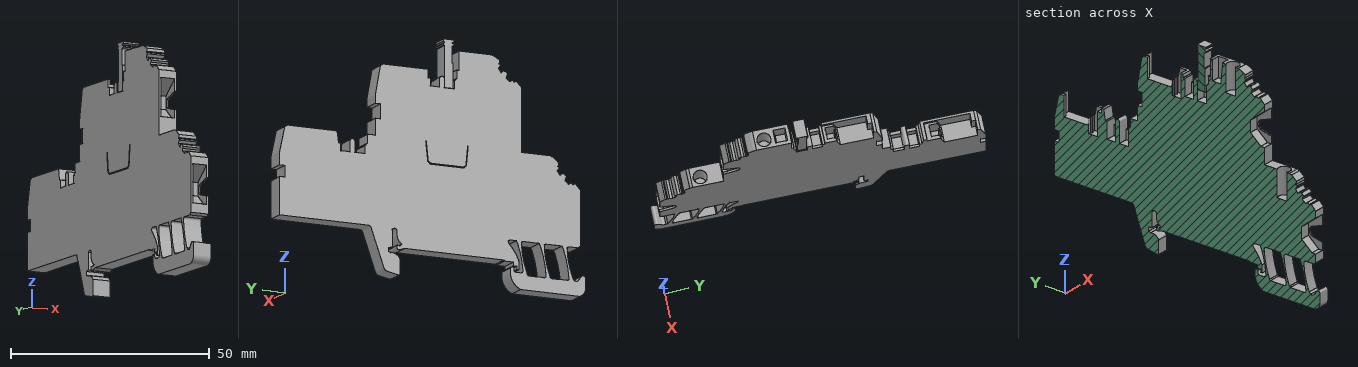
import cadquery as cq

thickness = 5.1
length = 85.25
jumper_top = 62.82

foot_floor = 12.07
latch_ceiling = 12.54
rail_face = 7.15
lower_deck = 35.66
upper_deck = 54.4
tower_top = 60.06

level_shift_y = 16.4
level_shift_z = 24.84

lower_front = 1.37
lower_slope_foot = 27.6
upper_front = lower_front + level_shift_y
upper_slope_foot = lower_slope_foot + level_shift_z
fronts = [(lower_front, lower_slope_foot), (upper_front, upper_slope_foot)]

upper_back = 58.6
bevel_run = 0.75
bevel_drop = 0.5
back_edges = [
    (length, foot_floor, lower_deck, 22.05, 25.05, 1.45, 1.45, 28.47),
    (upper_back, lower_deck, upper_deck, 40.03, 43.92, 1.5, 1.45, 46.0),
]

slot_length = 6.72
slot_pitch_y = 24.94
lower_slot_start = 61.43
lower_slot_floor = 30.57
upper_slot_start = lower_slot_start - slot_pitch_y
upper_slot_floor = 50.09
slot_ledge = 2.05
slot_mouth = 0.6
mouth_slope = 0.7
lower_slot_lean = 0.45
upper_slot_lean = 0.1
divider_start = 2.8
divider_width = 1.37
lower_divider_height = 3.55
upper_divider_height = 2.85
cell_depth = 3.0
cell_x = (0.9, 4.5)

pocket_wall = 0.65
pocket_step_x = 2.7
pocket_step = 1.05
pocket_depth = 6.0
block_depth = 1.3
block_length = 3.4
block_slope = 1.0
port_x = (1.2, 4.2)
port_length = 2.7
port_offset = 1.25
port_depth = 7.0
coding_rib_width = 0.35
coding_rib_depth = 0.5
coding_rib_gap = 0.7
pocket_length = 12.95
lower_pocket_start = 70.1
upper_pocket_start = 43.4

hole_diameter = 3.5
hole_depth = 8.0
hole_x = 2.83
hole_setback = 10.85
socket_x = (0.9, 4.2)
socket_y = (31.3, 34.4)
socket_taper = 0.6
socket_depth = 6.0

funnel_x = (0.55, 4.55)
funnel_depth = 4.5
funnel_mouth = (-1.95, -12.0)
funnel_throat = (-5.7, -9.15)
funnel_lip = 1.2

leg_pitch = 6.36
base_top = 3.81


def extrude(outline, start=0.0, end=thickness):
    """Extrude an outline drawn in Y and Z from X = start to X = end."""
    return outline.extrude(end - start).translate((start, 0, 0))


def box(x_range, y_range, z_range):
    size = [high - low for low, high in (x_range, y_range, z_range)]
    corner = (x_range[0], y_range[0], z_range[0])
    return cq.Workplane("XY").box(*size, centered=False).translate(corner)


def outline_from(points):
    return cq.Workplane("YZ").polyline(points).close()


def marker_slope(front, foot, top):
    """Ridged slope that holds the marker tags, from the front face up to the bevelled top surface."""
    bevel = 0.25
    offsets = [
        (0.0, 0.0), (1.4, 1.46), (1.8, 1.46), (2.08, 1.2), (2.57, 1.7), (3.3, 1.2),
        (4.3, 2.0), (4.15, 2.57), (3.8, 3.05), (4.55, 3.77), (5.25, 3.77), (5.7, 3.25),
        (6.45, 4.28), (5.9, 5.0), (5.9, 5.35), (6.4, 5.5), (6.15, 5.7), (6.15, 6.5),
    ]
    slope = [(front + y, foot + z) for y, z in offsets]
    return slope + [(front + 7.7, top - bevel), (front + 8.45, top)]


def slot_side(start, floor, deck_near, deck_far, far_lean):
    """Outline of a jumper slot, going from its -Y side to its leaning +Y side."""
    end = start + slot_length
    ledge = floor + slot_ledge
    return [
        (start - slot_mouth, deck_near),
        (start - slot_mouth, ledge + mouth_slope),
        (start, ledge),
        (start, floor),
        (end, floor),
        (end, ledge),
        (end + slot_mouth, ledge),
        (end + slot_mouth + far_lean, deck_far),
    ]


def back_edge(back, base, deck, notch_low, notch_high, notch_depth, lean, lean_start):
    """Leaning back end of a level with its rectangular notch, going down."""
    return [
        (back - lean - bevel_run, deck),
        (back - lean, deck - bevel_drop),
        (back, lean_start),
        (back, notch_high),
        (back - notch_depth, notch_high),
        (back - notch_depth, notch_low),
        (back, notch_low),
        (back, base),
    ]


def housing_plate():
    lower_edge, upper_edge = back_edges
    tower_back = 35.27
    tower_ledge = 55.0
    points = [(20.1, latch_ceiling), (lower_front + 0.6, latch_ceiling), (lower_front, latch_ceiling + 0.6)]
    points += marker_slope(lower_front, lower_slope_foot, lower_deck)
    points += [(upper_front, lower_deck)]
    points += marker_slope(upper_front, upper_slope_foot, tower_top)
    points += [(tower_back, tower_top), (tower_back, tower_ledge)]
    points += slot_side(upper_slot_start, upper_slot_floor, tower_ledge, upper_deck, upper_slot_lean)
    points += back_edge(*upper_edge)
    points += slot_side(lower_slot_start, lower_slot_floor, lower_deck, lower_deck, lower_slot_lean)
    points += back_edge(*lower_edge)
    points += [(51.0, foot_floor), (51.0, rail_face), (22.0, rail_face), (22.0, latch_ceiling)]
    return extrude(outline_from(points))


def slot_divider(start, floor, height):
    """Round-topped rib between the two cells of a jumper slot."""
    near = start + divider_start
    far = near + divider_width
    shoulder = floor + height - divider_width / 2
    outline = (
        cq.Workplane("YZ")
        .moveTo(near, floor)
        .lineTo(far, floor)
        .lineTo(far, shoulder)
        .threePointArc(((near + far) / 2, floor + height), (near, shoulder))
        .close()
    )
    return extrude(outline)


def fixed_foot():
    """Rigid foot that hooks under the rail at the +Y side, with the slit beside it."""
    outline = (
        cq.Workplane("YZ")
        .moveTo(60.57, foot_floor)
        .threePointArc((60.05, 11.9), (59.7, 11.4))
        .lineTo(56.2, 1.5)
        .threePointArc((55.8, 0.95), (55.1, 0.65))
        .lineTo(52.0, 0.05)
        .lineTo(51.67, 0.2)
        .lineTo(51.67, 4.4)
        .threePointArc((52.5, 5.3), (54.2, 5.65))
        .lineTo(54.85, 5.9)
        .lineTo(54.85, 6.9)
        .lineTo(53.85, rail_face)
        .lineTo(53.85, 11.6)
        .threePointArc((53.2, foot_floor), (52.5, 11.5))
        .lineTo(52.5, 10.2)
        .threePointArc((52.1, 9.0), (51.2, 8.15))
        .lineTo(51.6, 7.75)
        .lineTo(52.5, 7.75)
        .lineTo(52.5, 6.95)
        .threePointArc((52.25, 6.65), (51.9, 6.65))
        .lineTo(50.4, rail_face)
        .lineTo(50.4, foot_floor + 1)
        .lineTo(60.57, foot_floor + 1)
        .close()
    )
    return extrude(outline)


def latch_tongue():
    """Sloping tongue of the housing that dips into the latch hook."""
    outline = (
        cq.Workplane("YZ")
        .moveTo(22.8, rail_face)
        .lineTo(22.6, 6.9)
        .lineTo(20.1, 6.9)
        .lineTo(20.1, 5.95)
        .lineTo(19.1, 5.95)
        .lineTo(19.1, 5.1)
        .lineTo(18.57, 5.1)
        .lineTo(18.57, 7.4)
        .threePointArc((19.45, 9.1), (21.3, 11.55))
        .threePointArc((21.45, 12.2), (20.95, latch_ceiling))
        .lineTo(22.8, latch_ceiling)
        .close()
    )
    return extrude(outline)


def leg_gap(shift):
    """Through window between two spring legs, shifted toward -Y."""
    outline = (
        cq.Workplane("YZ")
        .moveTo(17.45 - shift, latch_ceiling)
        .threePointArc((17.75 - shift, 12.3), (17.85 - shift, 11.9))
        .threePointArc((17.4 - shift, 8.4), (16.15 - shift, 4.1))
        .lineTo(15.85 - shift, base_top)
        .lineTo(11.5 - shift, base_top)
        .threePointArc((11.1 - shift, 3.95), (11.0 - shift, 4.3))
        .threePointArc((11.55 - shift, 8.2), (12.6 - shift, 11.9))
        .lineTo(12.95 - shift, latch_ceiling)
        .close()
    )
    return extrude(outline)


def rail_latch():
    """Sprung latch: three leaning legs that carry a hooked base."""
    outline = (
        cq.Workplane("YZ")
        .moveTo(19.3, latch_ceiling)
        .lineTo(18.96, 11.9)
        .threePointArc((17.91, 8.2), (17.45, 4.95))
        .threePointArc((17.65, 4.5), (18.1, 4.32))
        .lineTo(19.35, 4.32)
        .threePointArc((19.7, 4.5), (19.9, 4.9))
        .lineTo(19.9, 5.6)
        .lineTo(20.65, 5.6)
        .lineTo(20.95, 5.3)
        .lineTo(20.95, 3.8)
        .threePointArc((20.1, 1.55), (18.1, 0.0))
        .lineTo(1.7, 0.0)
        .threePointArc((0.5, 0.7), (0.0, 2.0))
        .lineTo(0.0, 5.0)
        .threePointArc((0.55, 5.5), (1.2, 5.2))
        .lineTo(2.1, 4.0)
        .threePointArc((2.55, base_top), (2.95, 3.9))
        .lineTo(3.43, 4.4)
        .threePointArc((4.68, 8.4), (5.13, 11.9))
        .threePointArc((5.03, 12.3), (4.73, latch_ceiling))
        .lineTo(4.73, latch_ceiling + 1)
        .lineTo(19.3, latch_ceiling + 1)
        .close()
    )
    latch = extrude(outline)
    for index in range(2):
        latch = latch.cut(leg_gap(index * leg_pitch))
    return latch


def slot_cells(start, floor):
    """Deep cells below a jumper slot, one on each side of the divider."""
    near = start + divider_start
    far = near + divider_width
    depth = (floor - cell_depth, floor)
    return box(cell_x, (start, near), depth).union(box(cell_x, (far, start + slot_length), depth))


def plug_pocket(start, deck, rib_count):
    """Stepped deck pocket that leaves a sloped entry block with a coded port at its -Y end."""
    end = start + pocket_length
    floor = deck - pocket_depth
    block_top = deck - block_depth
    heights = (floor, deck)
    pocket = box((pocket_wall, thickness), (start, end - pocket_step), heights)
    pocket = pocket.union(box((pocket_step_x, thickness), (start, end), heights))
    block = extrude(
        outline_from([
            (start, floor),
            (start, block_top),
            (start + block_length, block_top),
            (start + block_length + block_slope, floor),
        ]),
        pocket_wall,
    )
    port_start = start + port_offset
    port_end = port_start + port_length
    port_floor = block_top - port_depth
    port = box(port_x, (port_start, port_end), (port_floor, block_top))
    middle = sum(port_x) / 2
    for index in range(rib_count):
        rib_x = middle + (index - (rib_count - 1) / 2) * (coding_rib_width + coding_rib_gap)
        rib_sides = (rib_x - coding_rib_width / 2, rib_x + coding_rib_width / 2)
        port = port.cut(box(rib_sides, (port_end - coding_rib_depth, port_end), (port_floor, block_top)))
    return pocket.cut(block).union(port)


def screw_hole(front, top):
    hole = cq.Workplane("XY").circle(hole_diameter / 2).extrude(-hole_depth)
    return hole.translate((hole_x, front + hole_setback, top))


def test_socket():
    """Rectangular socket in the tower top whose -Y wall leans inward."""
    near, far = socket_y
    floor = tower_top - socket_depth
    points = [(near, tower_top), (far, tower_top), (far, floor), (near + socket_taper, floor)]
    return extrude(outline_from(points), *socket_x)


def wire_funnel(front, foot):
    """Wire entry that narrows in height toward its throat."""
    mouth_top, mouth_low = (foot + drop for drop in funnel_mouth)
    throat_top, throat_low = (foot + drop for drop in funnel_throat)
    back = front + funnel_depth
    points = [
        (front, mouth_low), (front, mouth_top), (back, throat_top),
        (back, throat_low), (front + funnel_lip, mouth_low),
    ]
    return extrude(outline_from(points), *funnel_x)


def funnel_notch(front, foot):
    """Round-ended notch through the thin +X wall of a wire funnel."""
    outline = (
        cq.Workplane("YZ")
        .moveTo(front, foot - 5.1)
        .lineTo(front + 3.0, foot - 6.2)
        .threePointArc((front + 4.2, foot - 7.7), (front + 3.0, foot - 9.1))
        .lineTo(front, foot - 9.8)
        .close()
    )
    return extrude(outline, funnel_x[1], thickness)


def tongue_groove():
    """Fine U-shaped groove that outlines a tongue in the -X face."""
    top, low = lower_deck, 29.8
    depth = 0.1
    side_width = 0.12
    base_width = 0.25
    corner = 0.7

    def tongue(inset, base):
        return outline_from([
            (44.5 - inset, top), (43.95 - inset, low + corner), (43.2 - inset, base),
            (33.9 + inset, base), (33.2 + inset, low + corner), (32.7 + inset, top),
        ])

    return extrude(tongue(0, low), 0, depth).cut(extrude(tongue(side_width, low + base_width), 0, depth))


def make_housing():
    body = housing_plate()
    slots = [
        (lower_slot_start, lower_slot_floor, lower_divider_height),
        (upper_slot_start, upper_slot_floor, upper_divider_height),
    ]
    for part in (fixed_foot(), latch_tongue(), rail_latch()):
        body = body.union(part)
    for start, floor, divider_height in slots:
        body = body.union(slot_divider(start, floor, divider_height)).cut(slot_cells(start, floor))
    body = body.cut(plug_pocket(lower_pocket_start, lower_deck, 1))
    body = body.cut(plug_pocket(upper_pocket_start, upper_deck, 2))
    for (front, foot), top in zip(fronts, (lower_deck, tower_top)):
        body = body.cut(screw_hole(front, top))
        body = body.cut(wire_funnel(front, foot)).cut(funnel_notch(front, foot))
    return body.cut(test_socket()).cut(tongue_groove())


def make_jumper():
    """Jumper standing in the front cell of the upper slot, with a grooved grip at its top."""
    side_gap = 0.25
    back, front = 39.17, 36.77
    grip_back, grip_front = 39.47, 36.47
    neck_front = 37.05
    points = [
        (back, upper_slot_floor), (front, upper_slot_floor), (front, 56.8), (neck_front, 56.8),
        (neck_front, 61.0), (grip_front, 61.35), (grip_front, 61.65), (neck_front, 62.0),
        (grip_front, 62.3), (grip_front, jumper_top), (grip_back, jumper_top),
        (grip_back, 62.2), (back, 61.9), (grip_back, 61.6), (grip_back, 61.2),
        (back, 61.1),
    ]
    return extrude(outline_from(points), side_gap, thickness - side_gap)


housing = make_housing()
jumper = make_jumper()
result = cq.Compound.makeCompound([housing.val(), jumper.val()])